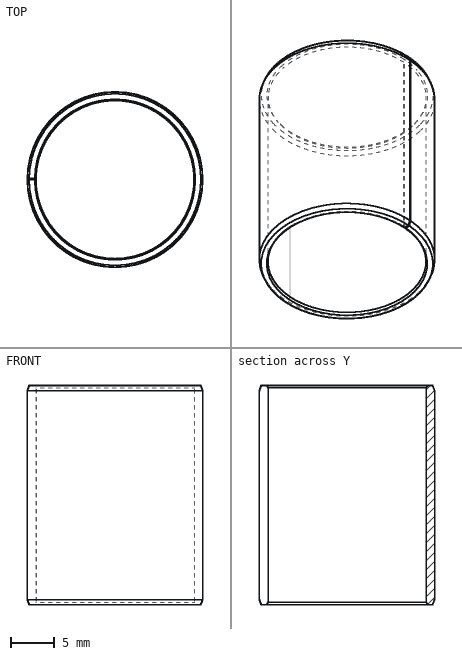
import cadquery as cq

length = 25.0
outer_radius = 10.0
wall = 1.0
inner_radius = outer_radius - wall

outer_bevel_height = 0.6
outer_bevel_width = 0.22
inner_bevel_height = 0.3
inner_bevel_width = 0.15

seam_width = 0.15

wall_section = [
    (inner_radius + inner_bevel_width, 0),
    (outer_radius - outer_bevel_width, 0),
    (outer_radius, outer_bevel_height),
    (outer_radius, length - outer_bevel_height),
    (outer_radius - outer_bevel_width, length),
    (inner_radius + inner_bevel_width, length),
    (inner_radius, length - inner_bevel_height),
    (inner_radius, inner_bevel_height),
]
sleeve = cq.Workplane("XZ").polyline(wall_section).close().revolve(360, (0, 0), (0, 1))

seam_reach = outer_radius + wall
seam = (
    cq.Workplane("XY")
    .box(seam_reach, seam_width, length, centered=False)
    .translate((-seam_reach, 0, 0))
)

result = sleeve.cut(seam)